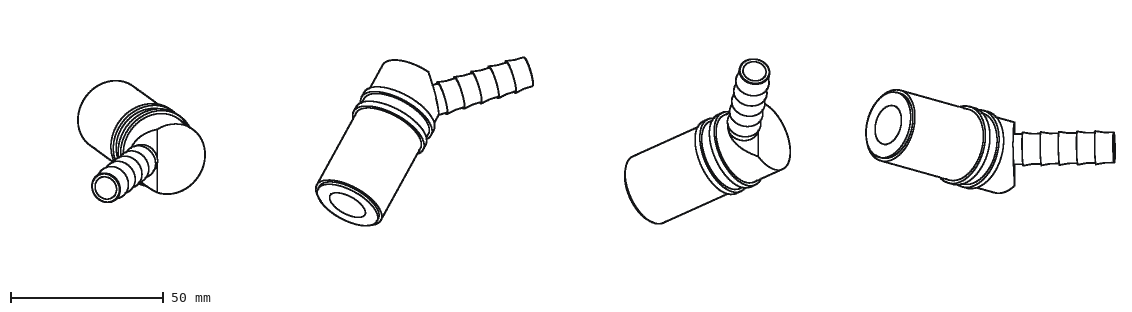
import cadquery as cq
import math

barrel_radius = 12.0
barrel_end = 51.0
nose_radius = 11.0
nose_length = 1.0
socket_radius = 6.5
socket_depth = 25.0

passage_radius = 3.8

tail_angle = 45.0
tail_radius = 5.0
tail_length = 32.9
tail_tip_chamfer = 0.2
bevel_width_x = 7.0

barb_count = 5
barb_radius = 5.5
barb_length = 2.95
barb_pitch = 5.95
first_barb_start = barb_length

ring_radius = 13.0
ring_width = 2.0
ring_starts = (31.0, 37.0)

bevel_width_y = bevel_width_x / math.tan(math.radians(tail_angle))
tail_base_x = barrel_end - bevel_width_x / 2
tail_base_y = -barrel_radius + bevel_width_y / 2
tail_direction = (math.cos(math.radians(tail_angle)), -math.sin(math.radians(tail_angle)))

bend_x = tail_base_x + tail_base_y / math.tan(math.radians(tail_angle))
base_from_bend = math.hypot(tail_base_x - bend_x, tail_base_y)


def make_barrel():
    """Stepped round barrel with its -Y end corner bevelled for the hose tail."""
    profile = [
        (0, 0),
        (0, nose_radius),
        (nose_length, nose_radius),
        (nose_length, barrel_radius),
        (barrel_end, barrel_radius),
        (barrel_end, 0),
    ]
    barrel = cq.Workplane("XZ").polyline(profile).close().revolve(360, (0, 0, 0), (1, 0, 0))
    bevel_corner = [
        (barrel_end - bevel_width_x, -barrel_radius),
        (barrel_end, -barrel_radius),
        (barrel_end, -barrel_radius + bevel_width_y),
    ]
    bevel = cq.Workplane("XY").polyline(bevel_corner).close().extrude(barrel_radius, both=True)
    return barrel.cut(bevel)


def make_tail():
    """Barbed tail turned about its axis, rooted at the bend inside the barrel."""
    profile = [(0, 0), (0, tail_radius)]
    for i in range(barb_count):
        barb_start = base_from_bend + first_barb_start + i * barb_pitch
        profile.append((barb_start, tail_radius))
        profile.append((barb_start, barb_radius))
        profile.append((barb_start + barb_length, tail_radius))
    tip = base_from_bend + tail_length
    profile.append((tip - tail_tip_chamfer, tail_radius))
    profile.append((tip, tail_radius - tail_tip_chamfer))
    profile.append((tip, 0))
    tail = cq.Workplane("XY").polyline(profile).close().revolve(360, (0, 0, 0), (1, 0, 0))
    return tail.rotate((0, 0, 0), (0, 0, 1), -tail_angle).translate((bend_x, 0, 0))


def make_passage():
    """Round passage along the barrel axis with a mitred turn into the tail axis."""
    run = base_from_bend + tail_length
    tip_point = (bend_x + run * tail_direction[0], run * tail_direction[1])
    path = cq.Workplane("XY").moveTo(0, 0).lineTo(bend_x, 0).lineTo(*tip_point)
    return cq.Workplane("YZ").circle(passage_radius).sweep(path, transition="right")


def make_housing():
    socket = cq.Workplane("YZ").circle(socket_radius).extrude(socket_depth)
    return make_barrel().union(make_tail()).cut(socket).cut(make_passage())


def make_sealing_ring(start_x):
    ring = cq.Workplane("YZ").workplane(offset=start_x).circle(ring_radius).circle(barrel_radius)
    return ring.extrude(ring_width)


housing = make_housing()
sealing_rings = [make_sealing_ring(start_x) for start_x in ring_starts]

result = cq.Compound.makeCompound([housing.solids().val(), *[ring.val() for ring in sealing_rings]])